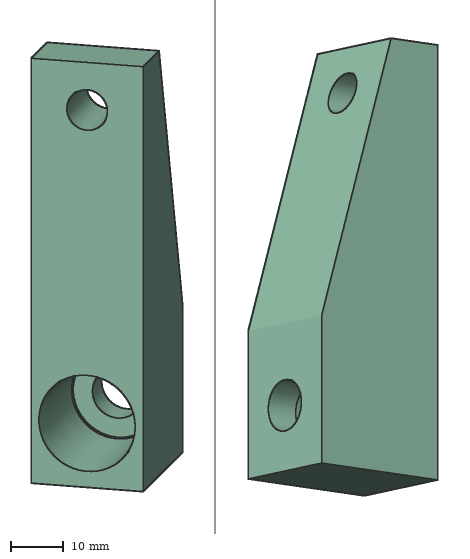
import cadquery as cq

width = 22.1
height = 84.0
base_depth = 28.55
top_depth = 11.5
slope_start_z = 28.55

upper_hole_z = height - 9.4
sleeve_outer_diameter = 9.5
sleeve_bore_diameter = 8.0

lower_hole_z = 12.7
lower_hole_diameter = 9.9
recess_mouth_diameter = 19.0
recess_floor_diameter = 18.0
recess_depth = 21.8
floor_chamfer = 0.25


def wedge():
    """Side profile in YZ, extruded symmetrically along X."""
    return (
        cq.Workplane("YZ")
        .moveTo(0, 0)
        .lineTo(base_depth, 0)
        .lineTo(base_depth, slope_start_z)
        .lineTo(top_depth, height)
        .lineTo(0, height)
        .close()
        .extrude(width / 2, both=True)
    )


def rod(diameter, z):
    """Rod along Y, spanning the full depth of the base."""
    return (
        cq.Workplane("XZ")
        .center(0, z)
        .circle(diameter / 2)
        .extrude(-base_depth)
    )


def tapered_recess():
    """Cone frustum narrowing from the front face to the recess floor, with its floor edge bevelled."""
    return (
        cq.Workplane("XZ")
        .center(0, lower_hole_z)
        .circle(recess_mouth_diameter / 2)
        .workplane(offset=-recess_depth)
        .circle(recess_floor_diameter / 2)
        .loft(combine=True)
        .faces(">Y")
        .chamfer(floor_chamfer)
    )


body = wedge()
sleeve_seat = rod(sleeve_outer_diameter, upper_hole_z)
sleeve = body.intersect(sleeve_seat).cut(rod(sleeve_bore_diameter, upper_hole_z))

body = body.cut(sleeve_seat)
body = body.cut(rod(lower_hole_diameter, lower_hole_z))
body = body.cut(tapered_recess())

result = body.union(sleeve, clean=False)